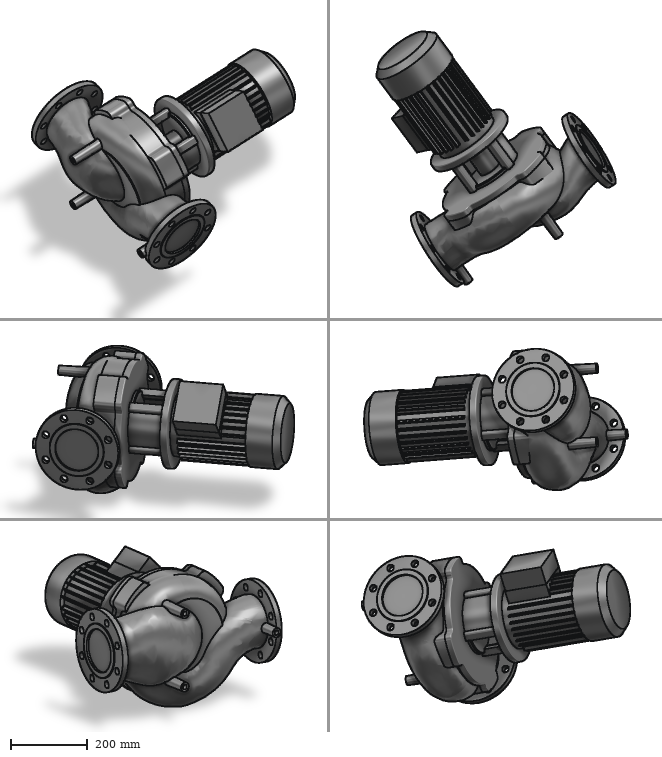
import cadquery as cq
import math


DIAGONALS = (45, 135, 225, 315)

PIN_FOOT_Y = -120.5
CASING_FACE_Y = -36.0
CASING_RIM_Y = 22.0
COVER_FRONT_Y = 78.5
COVER_BACK_Y = 96.5
MOTOR_FLANGE_Y = 190.0
MOTOR_SPIGOT_Y = 210.0
MOTOR_BODY_Y = 230.0
FAN_COVER_Y = 414.0
FAN_END_Y = 506.5

PORT_LENGTH = 500.0
PIPE_FLANGE_R = 110.5
PIPE_FLANGE_T = 17.0
RAISED_FACE_R = 73.0
RAISED_FACE_T = 2.0
RAISED_FACE_EDGE = 1.0
PORT_R = 58.0
PORT_DEPTH = 6.0
BOLT_CIRCLE_R = 90.0
BOLT_HOLE_R = 9.5
BOLT_COUNT = 8

CASING_R = 158.5
LOBE_REACH = 182.0
LOBE_WIDTH = 95.0
LOBE_CORNER_R = 17.5
LOBE_ROOT_R = 12.5
CASING_FACE_R = 106.5
CASING_FACE_X = 8.0
COVER_EDGE_R = 4.0

TONGUE_R = 52.5
TONGUE_Y = 19.5
THROAT_R = 67.0
THROAT_Y = 19.0
THROAT_OFFSET = 129.0
GROWTH_START_ANGLE = 90
THROAT_ANGLE = 270
VOLUTE_STEP = 15

OUTLET_R = 71.0
FIRST_BEND_R = 119.0
BEND_STEPS = 6

PIN_TIP_R = 12.5
PIN_ROOT_R = 15.0
PIN_HOLE_R = 6.0
PIN_HOLE_DEPTH = 19.0
SUCTION_PIN_X = -61.0
SUCTION_PIN_Z = 100.0
OUTLET_PIN_X = 225.0
PIN_PLACES = [(SUCTION_PIN_X, SUCTION_PIN_Z), (SUCTION_PIN_X, -SUCTION_PIN_Z), (OUTLET_PIN_X, 0)]
PIN_ROOT_Y = -19.0

LANTERN_R = 79.5
LANTERN_BORE_R = 72.0
LANTERN_RIM_T = 9.5
LANTERN_RIM_EDGE = 2.5
POST_REACH = 90.0
POST_WIDTH = 25.0
POST_DEPTH = 21.5
POST_CORNER_R = 7.0
SHAFT_TUBE_R = 29.5

MOTOR_FLANGE_R = 117.0
MOTOR_FLANGE_EDGE_R = 4.0
SPIGOT_R = 84.0
FIN_R = 93.5
FIN_T = 2.5
FIN_PITCH = 17.5
FINS_PER_QUARTER = 7
FAN_COVER_R = 96.0
FAN_END_R = 78.0
FAN_CHAMFER = 18.0
FAN_DOME = 2.5

BOX_ANGLE = 45
BOX_WIDTH = 116.0
BOX_SEAT = 96.0
BOX_TOP = 145.5
BOX_START_Y = 231.5
BOX_END_Y = 347.0


def cylinder(radius, start_y, end_y):
    """A cylinder on the shaft axis between two Y positions."""
    return cq.Workplane("XZ", origin=(0, start_y, 0)).circle(radius).extrude(start_y - end_y)


def radial_block(inner, outer, width, start_y, end_y):
    """A block that reaches along +X from `inner` to `outer` and is centred on Z = 0."""
    return cq.Workplane("XY").box(outer - inner, end_y - start_y, width).translate(
        ((inner + outer) / 2, (start_y + end_y) / 2, 0)
    )


def turned(shape, angle):
    """Turn a shape about the shaft, from +X towards +Z."""
    return shape.rotate((0, 0, 0), (0, 1, 0), -angle)


def lobed_disc(start_y, end_y):
    """The round casing outline with four rounded lobes on its diagonals."""
    disc = cylinder(CASING_R, start_y, end_y)
    lobe = radial_block(0, LOBE_REACH, LOBE_WIDTH, start_y, end_y)
    lobe = lobe.intersect(cylinder(LOBE_REACH, start_y, end_y))
    lobe = lobe.edges("|Y").filter(is_lobe_corner).fillet(LOBE_CORNER_R)
    for angle in DIAGONALS:
        disc = disc.union(turned(lobe, angle))
    return disc.edges("|Y").filter(is_lobe_root).fillet(LOBE_ROOT_R)


def is_lobe_corner(edge):
    """True for the two outer edges of a lobe that points along +X."""
    centre = edge.Center()
    return centre.x > CASING_R and abs(centre.z) > LOBE_WIDTH / 4


def is_lobe_root(edge):
    """True where a lobe's side wall meets the round outline."""
    centre = edge.Center()
    on_outline = abs(math.hypot(centre.x, centre.z) - CASING_R) < LOBE_ROOT_R / 10
    return on_outline and min(abs(centre.x), abs(centre.z)) > LOBE_ROOT_R


def pipe_flange(side):
    """A drilled flange with a raised face; side is -1 or +1 along X."""
    face_x = PORT_LENGTH / 2
    rim_x = face_x - RAISED_FACE_T
    flange = cq.Workplane("YZ", origin=(rim_x, 0, 0)).circle(PIPE_FLANGE_R).extrude(-PIPE_FLANGE_T)
    raised_face = cq.Workplane("YZ", origin=(rim_x, 0, 0)).circle(RAISED_FACE_R).extrude(RAISED_FACE_T)
    flange = flange.union(raised_face.faces(">X").chamfer(RAISED_FACE_EDGE))
    bolt_holes = (
        cq.Workplane("YZ", origin=(rim_x, 0, 0))
        .polarArray(BOLT_CIRCLE_R, 180 / BOLT_COUNT, 360, BOLT_COUNT)
        .circle(BOLT_HOLE_R)
        .extrude(-PIPE_FLANGE_T)
    )
    flange = flange.cut(bolt_holes)
    return flange if side > 0 else flange.mirror("YZ")


def port(side):
    """The shallow blind opening in a flange face."""
    depth_x = PORT_LENGTH / 2 - PORT_DEPTH
    recess = cq.Workplane("YZ", origin=(depth_x, 0, 0)).circle(PORT_R).extrude(PORT_DEPTH)
    return recess if side > 0 else recess.mirror("YZ")


def ring(centre, direction, radius):
    """A circle across a tube, starting on its +Y side."""
    plane = cq.Plane(origin=centre, xDir=(0, 1, 0), normal=direction)
    return cq.Workplane(plane).circle(radius).val()


def between(start, end, share):
    return start + share * (end - start)


def tongue():
    """The quarter turn of even tube at the start of the volute."""
    tube = cq.Workplane("XY").center(CASING_R - TONGUE_R, TONGUE_Y).circle(TONGUE_R)
    return tube.revolve(GROWTH_START_ANGLE, (TONGUE_R - CASING_R, 0, 0), (TONGUE_R - CASING_R, -1, 0))


def spiral():
    """The half turn of growing tube from the end of the tongue, at the top, to the throat."""
    rings = []
    for angle in range(GROWTH_START_ANGLE, THROAT_ANGLE + 1, VOLUTE_STEP):
        growth = (angle - GROWTH_START_ANGLE) / (THROAT_ANGLE - GROWTH_START_ANGLE)
        offset = between(CASING_R - TONGUE_R, THROAT_OFFSET, growth)
        across = math.cos(math.radians(angle))
        up = math.sin(math.radians(angle))
        centre = (offset * across, between(TONGUE_Y, THROAT_Y, growth), offset * up)
        rings.append(ring(centre, (-up, 0, across), between(TONGUE_R, THROAT_R, growth)))
    return cq.Workplane(cq.Solid.makeLoft(rings))


def discharge_pipe():
    """The S-bend of two opposite arcs that leads from the throat up to the +X flange."""
    end_x = PORT_LENGTH / 2 - PIPE_FLANGE_T
    first_z = FIRST_BEND_R - THROAT_OFFSET
    second_r = (end_x**2 + first_z**2 - FIRST_BEND_R**2) / (2 * (FIRST_BEND_R - first_z))
    turn = math.atan2(end_x, second_r + first_z)
    rings = []
    for index in range(2 * BEND_STEPS + 1):
        if index <= BEND_STEPS:
            slope = turn * index / BEND_STEPS
            x = FIRST_BEND_R * math.sin(slope)
            z = first_z - FIRST_BEND_R * math.cos(slope)
        else:
            slope = turn * (2 * BEND_STEPS - index) / BEND_STEPS
            x = end_x - second_r * math.sin(slope)
            z = second_r * (math.cos(slope) - 1)
        share = index / (2 * BEND_STEPS)
        direction = (math.cos(slope), 0, math.sin(slope))
        rings.append(ring((x, between(THROAT_Y, 0, share), z), direction, between(THROAT_R, OUTLET_R, share)))
    return cq.Workplane(cq.Solid.makeLoft(rings))


def suction_pipe():
    """The wide inlet elbow, lofted through ellipses across X: (x, centre y, half depth, half height)."""
    stations = [
        (-233.0, -3.0, 69.5, 73.0),
        (-207.0, -12.0, 66.5, 80.0),
        (-175.5, -22.5, 61.5, 89.5),
        (-116.0, -42.5, 59.5, 105.5),
        (-75.0, -41.0, 61.5, 101.5),
        (-44.0, -35.0, 63.0, 93.5),
        (0.0, -22.0, 59.5, 81.0),
        (28.0, -9.5, 47.0, 68.0),
        (42.0, -2.0, 42.0, 54.0),
        (48.0, 0.0, 36.0, 41.0),
    ]
    sections = []
    for x, y, half_depth, half_height in stations:
        sections.append(cq.Workplane("YZ", origin=(x, y, 0)).ellipse(half_depth, half_height).val())
    return cq.Workplane(cq.Solid.makeLoft(sections))


def pin_blank(x, z):
    """A slightly tapered pin that points along -Y."""
    tip = cq.Solid.makeCone(
        PIN_TIP_R, PIN_ROOT_R, PIN_ROOT_Y - PIN_FOOT_Y, pnt=cq.Vector(x, PIN_FOOT_Y, z), dir=cq.Vector(0, 1, 0)
    )
    return cq.Workplane(tip)


def make_pin(x, z):
    """A pin with a blind hole in its tip."""
    hole = cylinder(PIN_HOLE_R, PIN_FOOT_Y, PIN_FOOT_Y + PIN_HOLE_DEPTH).translate((x, 0, z))
    return pin_blank(x, z).cut(hole)


def make_casing():
    """The pump casing with its tubes, pipe flanges and pin sockets."""
    casing = lobed_disc(CASING_RIM_Y, COVER_FRONT_Y)
    casing = casing.union(cylinder(CASING_FACE_R, CASING_FACE_Y, CASING_RIM_Y).translate((CASING_FACE_X, 0, 0)))
    for tube in (tongue(), spiral(), discharge_pipe()):
        casing = casing.union(tube)
    casing = casing.union(suction_pipe())
    for side in (-1, 1):
        casing = casing.union(pipe_flange(side)).cut(port(side))
    casing = casing.cut(cylinder(LOBE_REACH, COVER_FRONT_Y, COVER_BACK_Y))
    for x, z in PIN_PLACES:
        casing = casing.cut(pin_blank(x, z))
    return casing


def make_cover():
    """The plate that closes the casing, with a rounded outer edge."""
    return lobed_disc(COVER_FRONT_Y, COVER_BACK_Y).faces(">Y").edges().fillet(COVER_EDGE_R)


def make_lantern():
    """The windowed spacer between pump and motor, with the shaft tube inside."""
    lantern = cylinder(LANTERN_R, COVER_BACK_Y, MOTOR_FLANGE_Y).cut(
        cylinder(LANTERN_BORE_R, COVER_BACK_Y, MOTOR_FLANGE_Y)
    )
    notch = POST_WIDTH / math.sqrt(2)
    reach = POST_REACH
    window = (
        cq.Workplane("XZ", origin=(0, COVER_BACK_Y, 0))
        .polyline([(0, notch), (reach, notch + reach), (-reach, notch + reach)])
        .close()
        .extrude(COVER_BACK_Y - MOTOR_FLANGE_Y)
    )
    lantern = lantern.cut(window).cut(window.mirror("XY"))
    post = radial_block(POST_REACH - POST_DEPTH, POST_REACH, POST_WIDTH, COVER_BACK_Y, MOTOR_FLANGE_Y)
    post = post.edges("|Y and >X").fillet(POST_CORNER_R)
    for angle in DIAGONALS:
        lantern = lantern.union(turned(post, angle))
    cover_rim = cylinder(LANTERN_R, COVER_BACK_Y, COVER_BACK_Y + LANTERN_RIM_T)
    motor_rim = cylinder(LANTERN_R, MOTOR_FLANGE_Y - LANTERN_RIM_T, MOTOR_FLANGE_Y)
    lantern = lantern.union(cover_rim.faces(">Y").chamfer(LANTERN_RIM_EDGE))
    lantern = lantern.union(motor_rim.faces("<Y").chamfer(LANTERN_RIM_EDGE))
    return lantern.union(cylinder(SHAFT_TUBE_R, COVER_BACK_Y, MOTOR_FLANGE_Y))


def make_motor_flange():
    """The plain round flange under the motor."""
    return cylinder(MOTOR_FLANGE_R, MOTOR_FLANGE_Y, MOTOR_SPIGOT_Y).edges().fillet(MOTOR_FLANGE_EDGE_R)


def make_motor_body():
    """The finned motor housing with its spigot and the seat of the terminal box."""
    body = cylinder(SPIGOT_R, MOTOR_SPIGOT_Y, FAN_COVER_Y)
    outer_fin = (FINS_PER_QUARTER - 1) / 2
    fins = cq.Workplane()
    for index in range(FINS_PER_QUARTER):
        offset = (index - outer_fin) * FIN_PITCH
        fins.add(radial_block(0, FIN_R, FIN_T, MOTOR_BODY_Y, FAN_COVER_Y).translate((0, 0, offset)))
    quarter = fins.combine().intersect(cylinder(FIN_R, MOTOR_BODY_Y, FAN_COVER_Y))
    for angle in DIAGONALS:
        body = body.union(turned(quarter, angle))
    seat = radial_block(0, BOX_SEAT, BOX_WIDTH, MOTOR_BODY_Y, BOX_END_Y)
    return body.union(turned(seat, BOX_ANGLE))


def make_terminal_box():
    """The box on the motor's upper diagonal."""
    return turned(radial_block(BOX_SEAT, BOX_TOP, BOX_WIDTH, BOX_START_Y, BOX_END_Y), BOX_ANGLE)


def make_fan_cover():
    """The motor's end cap, chamfered and slightly domed."""
    rim_y = FAN_END_Y - FAN_DOME
    dome_radius = (FAN_END_R**2 + FAN_DOME**2) / (2 * FAN_DOME)
    profile = (
        cq.Workplane("XY")
        .moveTo(0, FAN_COVER_Y)
        .lineTo(FAN_COVER_R, FAN_COVER_Y)
        .lineTo(FAN_COVER_R, rim_y - FAN_CHAMFER)
        .lineTo(FAN_END_R, rim_y)
        .radiusArc((0, FAN_END_Y), -dome_radius)
        .close()
    )
    return profile.revolve(360, (0, 0, 0), (0, 1, 0))


casing = make_casing()
cover = make_cover()
lantern = make_lantern()
motor_flange = make_motor_flange()
motor_body = make_motor_body()
terminal_box = make_terminal_box()
fan_cover = make_fan_cover()
pins = [make_pin(x, z) for x, z in PIN_PLACES]

result = cq.Compound.makeCompound(
    [
        casing.val(), cover.val(), lantern.val(), motor_flange.val(),
        motor_body.val(), terminal_box.val(), fan_cover.val(),
        *[pin.val() for pin in pins],
    ]
)